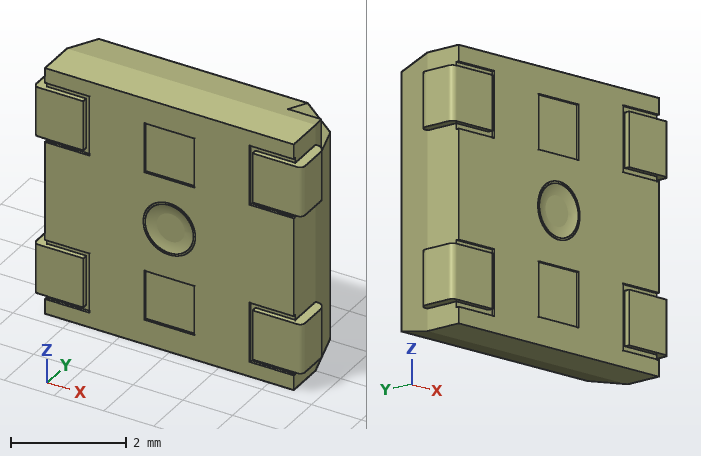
import cadquery as cq

overall_length = 5.4
housing_size = 5.0
overall_height = 1.6
stand_off = 0.05

base_top = 0.8
taper_inset = 0.175
mark_depth = 0.495
mark_leg = 0.455

recess_size = 1.0
recess_offset = 1.5
recess_depth = 0.05

plug_radius = 0.525
plug_thickness = 0.2
bowl_radius = 0.485
bowl_floor_radius = 0.28
bowl_depth = 0.05

terminal_width = 1.0
terminal_offset = 1.6
foot_length = 1.0
foot_thickness = 0.1
heel_radius = 0.095
shoulder_radius = 0.17
pocket_side_gap = 0.1
pocket_end_gap = 0.09

half_housing = housing_size / 2
half_length = overall_length / 2
foot_end = half_length - foot_length
terminal_places = [(side, z) for side in (-1, 1) for z in (-terminal_offset, terminal_offset)]
overcut = 0.055


def upright_box(x_min, x_max, y_min, y_max, z_center, z_size):
    """Box given by its X and Y limits, centred on a height Z."""
    return (
        cq.Workplane("XY", origin=(0, 0, z_center - z_size / 2))
        .moveTo(x_min, y_min)
        .lineTo(x_max, y_min)
        .lineTo(x_max, y_max)
        .lineTo(x_min, y_max)
        .close()
        .extrude(z_size)
    )


def make_shell():
    """Straight base with the tapered block on top of it."""
    base = upright_box(-half_housing, half_housing, stand_off, base_top, 0, housing_size)
    upper_size = housing_size - 2 * taper_inset
    upper = (
        cq.Workplane("XZ", origin=(0, base_top, 0))
        .rect(housing_size, housing_size)
        .workplane(offset=base_top - overall_height)
        .rect(upper_size, upper_size)
        .loft(ruled=True)
    )
    return base.union(upper)


def make_corner_mark():
    """45 degree wedge that marks one corner of the tapered block."""
    upper_corner = half_housing - taper_inset
    mark_start = upper_corner - mark_leg
    reach = mark_leg + 2 * taper_inset
    return (
        cq.Workplane("XZ", origin=(0, overall_height - mark_depth, 0))
        .moveTo(mark_start - reach, upper_corner + reach)
        .lineTo(upper_corner + reach, mark_start - reach)
        .lineTo(upper_corner + reach, upper_corner + reach)
        .close()
        .extrude(-mark_depth - overcut)
    )


def make_plug_disc():
    """Solid disc that fills the plug hole in the housing."""
    return cq.Workplane("XZ", origin=(0, stand_off, 0)).circle(plug_radius).extrude(-plug_thickness)


def make_bowl():
    """Bowl with a flat floor and a round wall that runs tangent into the floor."""
    floor_y = stand_off + bowl_depth
    return (
        cq.Workplane("XY")
        .moveTo(0, stand_off)
        .lineTo(0, floor_y)
        .lineTo(bowl_floor_radius, floor_y)
        .tangentArcPoint((bowl_radius, stand_off), relative=False)
        .close()
        .revolve(360, (0, 0, 0), (0, 1, 0))
    )


def make_plug():
    return make_plug_disc().cut(make_bowl())


def make_terminal_pocket(side, z_center):
    """Pocket as deep as the foot reaches, open at the housing side, around one terminal foot."""
    inner_x = side * (foot_end - pocket_end_gap)
    outer_x = side * half_length
    width = terminal_width + 2 * pocket_side_gap
    return upright_box(inner_x, outer_x, stand_off - overcut, foot_thickness, z_center, width)


def make_housing():
    body = make_shell().cut(make_corner_mark()).cut(make_plug_disc())
    for z_center in (-recess_offset, recess_offset):
        half_recess = recess_size / 2
        recess_top = stand_off + recess_depth
        recess = upright_box(-half_recess, half_recess, 0, recess_top, z_center, recess_size)
        body = body.cut(recess)
    for side, z_center in terminal_places:
        body = body.cut(make_terminal_pocket(side, z_center))
    return body


def make_terminal(side, z_center):
    """L-shaped terminal: a leg on the housing side and a foot underneath."""
    leg = upright_box(side * half_housing, side * half_length, 0, base_top, z_center, terminal_width)
    foot = upright_box(side * foot_end, side * half_length, 0, foot_thickness, z_center, terminal_width)
    outer_side = ">X" if side > 0 else "<X"
    terminal = leg.union(foot)
    terminal = terminal.faces(outer_side).edges("<Y").fillet(heel_radius)
    return terminal.faces(outer_side).edges(">Y").fillet(shoulder_radius)


housing = make_housing()
plug = make_plug()
terminals = [make_terminal(side, z_center) for side, z_center in terminal_places]

terminal_solids = [terminal.val() for terminal in terminals]
result = cq.Compound.makeCompound([housing.val(), plug.val(), *terminal_solids])